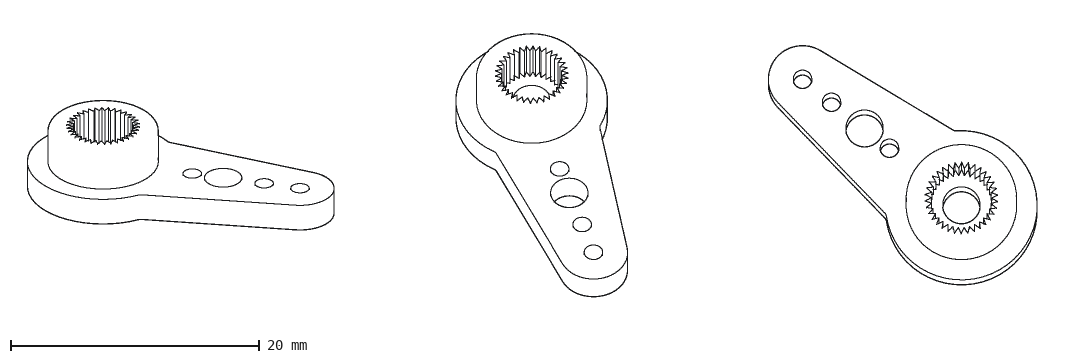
import cadquery as cq
import math

overall_length = 25.25
overall_height = 5.6

hub_diameter = 12.2
hub_radius = hub_diameter / 2
plate_thickness = 2.3
tip_radius = 2.75
tip_center_x = overall_length - hub_radius - tip_radius
arm_root_radius = 4.9
neck_fillet = 0.45

boss_radius = 4.45
boss_height = overall_height - plate_thickness
boss_edge_fillet = 0.5

tooth_count = 34
spline_outer_radius = 2.93
spline_inner_radius = 2.42
spline_depth = boss_height
first_groove_angle = 1.4

large_hole_diameter = 3.0
small_hole_diameter = 1.5
large_hole_places = [0.0, 10.0]
small_hole_places = [7.42, 13.4, tip_center_x]


def polar_point(radius, angle):
    return (radius * math.cos(angle), radius * math.sin(angle))


def make_arm():
    """Tapered arm whose straight sides are tangent to the root circle and the rounded tip."""
    taper = math.asin((arm_root_radius - tip_radius) / tip_center_x)
    side_normal = math.pi / 2 - taper
    root_x, root_y = polar_point(arm_root_radius, side_normal)
    tip_offset_x, tip_y = polar_point(tip_radius, side_normal)
    tip_x = tip_center_x + tip_offset_x
    return (
        cq.Workplane("XY")
        .moveTo(root_x, root_y)
        .lineTo(tip_x, tip_y)
        .threePointArc((tip_center_x + tip_radius, 0), (tip_x, -tip_y))
        .lineTo(root_x, -root_y)
        .close()
        .extrude(plate_thickness)
    )


def make_plate():
    """Hub disc joined to the arm, with the two neck corners rounded."""
    disc = cq.Workplane("XY").circle(hub_radius).extrude(plate_thickness)
    plate = disc.union(make_arm())
    neck_zone = cq.selectors.BoxSelector(
        (0, -hub_radius, 0), (hub_radius, hub_radius, plate_thickness)
    )
    return plate.edges("|Z").edges(neck_zone).fillet(neck_fillet)


def make_boss():
    return (
        cq.Workplane("XY")
        .circle(boss_radius)
        .extrude(overall_height)
        .faces(">Z")
        .edges()
        .fillet(boss_edge_fillet)
    )


def make_spline_socket():
    """Star-shaped cutter with one V groove per tooth, sunk from the boss top."""
    pitch = 2 * math.pi / tooth_count
    start = math.radians(first_groove_angle)
    outline = []
    for index in range(tooth_count):
        angle = start + index * pitch
        outline.append(polar_point(spline_outer_radius, angle))
        outline.append(polar_point(spline_inner_radius, angle + pitch / 2))
    return (
        cq.Workplane("XY", origin=(0, 0, overall_height))
        .polyline(outline)
        .close()
        .extrude(-spline_depth)
    )


def make_holes(places, diameter):
    centers = [(x, 0) for x in places]
    return cq.Workplane("XY").pushPoints(centers).circle(diameter / 2).extrude(overall_height)


result = (
    make_plate()
    .union(make_boss())
    .cut(make_spline_socket())
    .cut(make_holes(large_hole_places, large_hole_diameter))
    .cut(make_holes(small_hole_places, small_hole_diameter))
)